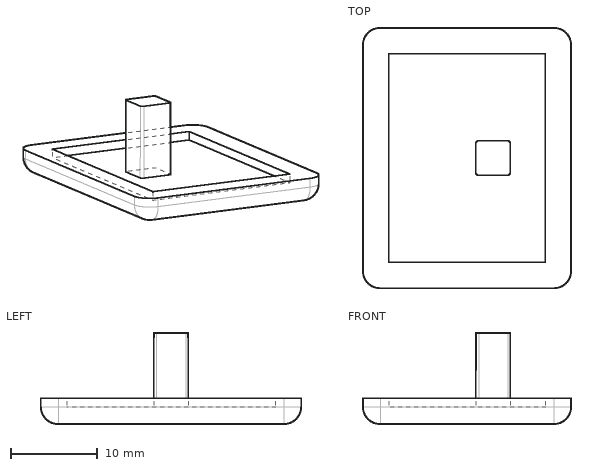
import cadquery as cq

plate_length_x = 24.0
plate_length_y = 30.0
plate_thickness = 3.0
edge_radius = 2.0

rim_width = 3.0
recess_depth = 1.0
recess_length_x = plate_length_x - 2 * rim_width
recess_length_y = plate_length_y - 2 * rim_width

overall_height = 10.5
post_side = 4.0
post_corner_radius = 0.33
post_draft_angle = 0.1
post_offset_x = 3.0
recess_floor_z = plate_thickness - recess_depth


def box_on(floor_z, length_x, length_y, height):
    """Box centred in X and Y whose underside sits at floor_z."""
    return (
        cq.Workplane("XY")
        .workplane(offset=floor_z)
        .box(length_x, length_y, height, centered=(True, True, False))
    )


def make_plate():
    """Plate with rounded corners and a rounded bottom edge."""
    plate = box_on(0, plate_length_x, plate_length_y, plate_thickness)
    return plate.edges("|Z").fillet(edge_radius).faces("<Z").edges().fillet(edge_radius)


def make_recess():
    """Sharp-cornered volume removed from the top of the plate."""
    return box_on(recess_floor_z, recess_length_x, recess_length_y, recess_depth)


def make_post():
    """Square post with rounded corners and a slight draft, offset along X."""
    return (
        cq.Workplane("XY")
        .workplane(offset=recess_floor_z)
        .sketch()
        .rect(post_side, post_side)
        .vertices()
        .fillet(post_corner_radius)
        .finalize()
        .extrude(overall_height - recess_floor_z, taper=post_draft_angle)
        .translate((post_offset_x, 0, 0))
    )


result = make_plate().cut(make_recess()).union(make_post())